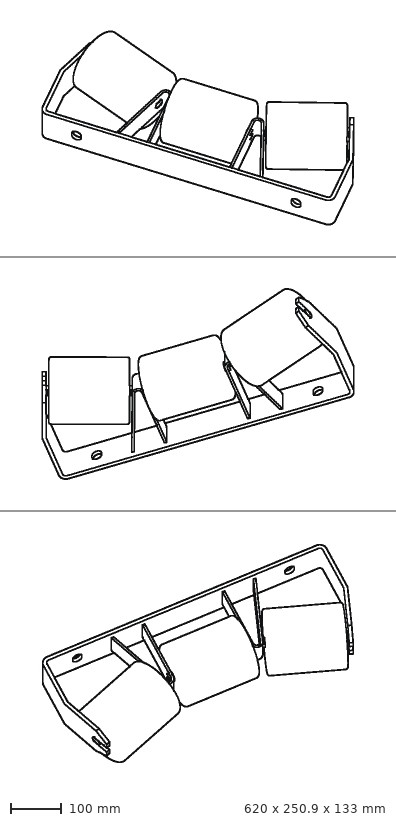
import cadquery as cq
import math

FRAME_LENGTH = 620.0
STRIP_THICKNESS = 8.0
STRIP_HEIGHT = 80.0
CORNER_RADIUS = 15.0
ARM_BEND_Y = 110.5
ARM_BEND_INNER_RADIUS = 1.0
TIP_ABOVE_SHAFT = 30.0
TIP_CHAMFER_LENGTH = 30.0
TIP_CHAMFER_ANGLE = 30.0
MOUNTING_SLOT_X = 232.5
MOUNTING_SLOT_WIDTH = 20.0
MOUNTING_SLOT_HEIGHT = 25.5

TILT = 20.0
ROLLER_DIAMETER = 133.0
ROLLER_LENGTH = 160.0
ROLLER_EDGE_RADIUS = 5.0
SHAFT_DIAMETER = 20.0
SHOULDER_LENGTH = 3.0
SHAFT_FLATS = 13.5
SEAT_WIDTH = 16.0
SUPPORT_GAP = 5.0
MIDDLE_ROLLER_Y = 126.5
SIDE_ROLLER_Y = 162.5

BRACKET_THICKNESS = 5.0
BRACKET_HEIGHT = 50.0
BRACKET_BEND_RADIUS = 12.5

HALF_LENGTH = FRAME_LENGTH / 2
SHAFT_RADIUS = SHAFT_DIAMETER / 2
COS_TILT = math.cos(math.radians(TILT))
SIN_TILT = math.sin(math.radians(TILT))
SUPPORT_FACE = ROLLER_LENGTH / 2 + SUPPORT_GAP
BRACKET_BACK = SUPPORT_FACE + BRACKET_THICKNESS
ARM_BACK = SUPPORT_FACE + STRIP_THICKNESS
ARM_BEND_OUTER_RADIUS = ARM_BEND_INNER_RADIUS + STRIP_THICKNESS
ARM_BEND_CENTRE_X = HALF_LENGTH - ARM_BEND_OUTER_RADIUS
ARM_BEND_TO_ROLLER = SUPPORT_FACE - ARM_BEND_INNER_RADIUS + (SIDE_ROLLER_Y - ARM_BEND_Y) * SIN_TILT
SIDE_ROLLER_X = ARM_BEND_CENTRE_X - ARM_BEND_TO_ROLLER / COS_TILT
RIGHT_ROLLER_PLACE = cq.Location(cq.Vector(SIDE_ROLLER_X, SIDE_ROLLER_Y, 0), cq.Vector(0, 0, 1), TILT)
LEFT_ROLLER_PLACE = cq.Location(cq.Vector(-SIDE_ROLLER_X, SIDE_ROLLER_Y, 0), cq.Vector(0, 0, 1), 180 - TILT)
MIDDLE_ROLLER_PLACE = cq.Location(cq.Vector(0, MIDDLE_ROLLER_Y, 0))


def from_side_roller(axial, across):
    """Point in the XY plane given along and across the right roller's axis."""
    return (
        SIDE_ROLLER_X + axial * COS_TILT - across * SIN_TILT,
        SIDE_ROLLER_Y + axial * SIN_TILT + across * COS_TILT,
    )


def on_circle(centre, radius, angle):
    """Point on a circle at an angle in degrees from +X."""
    return (
        centre[0] + radius * math.cos(math.radians(angle)),
        centre[1] + radius * math.sin(math.radians(angle)),
    )


def flatted_bar(start, end, width):
    """Round bar along X between two places, cut to a width in Z by two flats."""
    bar = cq.Workplane("YZ", origin=(start, 0, 0)).circle(SHAFT_RADIUS).extrude(end - start)
    flats = cq.Workplane("XY").box(2 * max(abs(start), abs(end)), SHAFT_DIAMETER, width)
    return bar.intersect(flats)


def make_roller(right_back):
    """Roller along X whose flatted shaft runs from a bracket's back on the left to right_back."""
    drum = (
        cq.Workplane("YZ", origin=(-ROLLER_LENGTH / 2, 0, 0))
        .circle(ROLLER_DIAMETER / 2)
        .extrude(ROLLER_LENGTH)
        .edges()
        .fillet(ROLLER_EDGE_RADIUS)
    )
    shoulder_face = ROLLER_LENGTH / 2 + SHOULDER_LENGTH
    shoulders = cq.Workplane("YZ").circle(SHAFT_RADIUS).extrude(shoulder_face, both=True)
    flatted_ends = flatted_bar(-BRACKET_BACK, right_back, SHAFT_FLATS)
    return drum.union(shoulders).union(flatted_ends)


def make_half_strip():
    """Right half of the bent strip: base, rounded corner, upright and tilted arm."""
    corner = (HALF_LENGTH - CORNER_RADIUS, CORNER_RADIUS)
    corner_inner_radius = CORNER_RADIUS - STRIP_THICKNESS
    bend = (ARM_BEND_CENTRE_X, ARM_BEND_Y)
    return (
        cq.Workplane("XY", origin=(0, 0, -STRIP_HEIGHT / 2))
        .moveTo(0, 0)
        .lineTo(corner[0], 0)
        .threePointArc(on_circle(corner, CORNER_RADIUS, -45), (HALF_LENGTH, CORNER_RADIUS))
        .lineTo(HALF_LENGTH, ARM_BEND_Y)
        .threePointArc(
            on_circle(bend, ARM_BEND_OUTER_RADIUS, TILT / 2),
            on_circle(bend, ARM_BEND_OUTER_RADIUS, TILT),
        )
        .lineTo(*from_side_roller(ARM_BACK, TIP_ABOVE_SHAFT))
        .lineTo(*from_side_roller(SUPPORT_FACE, TIP_ABOVE_SHAFT))
        .lineTo(*on_circle(bend, ARM_BEND_INNER_RADIUS, TILT))
        .threePointArc(
            on_circle(bend, ARM_BEND_INNER_RADIUS, TILT / 2),
            (HALF_LENGTH - STRIP_THICKNESS, ARM_BEND_Y),
        )
        .lineTo(HALF_LENGTH - STRIP_THICKNESS, CORNER_RADIUS)
        .threePointArc(on_circle(corner, corner_inner_radius, -45), (corner[0], STRIP_THICKNESS))
        .lineTo(0, STRIP_THICKNESS)
        .close()
        .extrude(STRIP_HEIGHT)
    )


def make_tip_chamfers():
    """Cutters for the two sloped corners of the right arm's tip."""
    half_height = STRIP_HEIGHT / 2
    drop = TIP_CHAMFER_LENGTH * math.tan(math.radians(TIP_CHAMFER_ANGLE))
    corner = (
        cq.Workplane("YZ", origin=(SUPPORT_FACE, 0, 0))
        .moveTo(TIP_ABOVE_SHAFT, half_height)
        .lineTo(TIP_ABOVE_SHAFT - TIP_CHAMFER_LENGTH, half_height)
        .lineTo(TIP_ABOVE_SHAFT, half_height - drop)
        .close()
        .extrude(STRIP_THICKNESS)
    )
    return corner.union(corner.mirror("XY")).val().moved(RIGHT_ROLLER_PLACE)


def make_arm_seat():
    """Cutter for the open seat in the right arm: round at the shaft, straight up to the tip."""
    mouth = (
        cq.Workplane("XY")
        .box(STRIP_THICKNESS, TIP_ABOVE_SHAFT, SEAT_WIDTH, centered=(False, False, True))
        .translate((SUPPORT_FACE, 0, 0))
    )
    return flatted_bar(SUPPORT_FACE, ARM_BACK, SEAT_WIDTH).union(mouth).val().moved(RIGHT_ROLLER_PLACE)


def make_mounting_slot():
    """Cutter for the right upright slot through the base."""
    return (
        cq.Workplane("XZ", origin=(MOUNTING_SLOT_X, 0, 0))
        .slot2D(MOUNTING_SLOT_HEIGHT, MOUNTING_SLOT_WIDTH, 90)
        .extrude(-STRIP_THICKNESS)
    )


def make_bracket():
    """Right bracket: a straight and a tilted leg joined by a round fold, with a shaft seat in each leg."""
    inner_radius = BRACKET_BEND_RADIUS - BRACKET_THICKNESS
    fold_x = SUPPORT_FACE + BRACKET_BEND_RADIUS
    fold_axial = -SUPPORT_FACE - BRACKET_BEND_RADIUS
    fold_y = SIDE_ROLLER_Y + (fold_axial - (fold_x - SIDE_ROLLER_X) * COS_TILT) / SIN_TILT
    fold = (fold_x, fold_y)
    top_angle = (180 + TILT) / 2

    def tilted_leg_foot(radius):
        """Where the tilted leg's face that leaves the fold at this radius meets the base."""
        x, y = on_circle(fold, radius, TILT)
        return (x + (y - STRIP_THICKNESS) * SIN_TILT / COS_TILT, STRIP_THICKNESS)

    sheet = (
        cq.Workplane("XY", origin=(0, 0, -BRACKET_HEIGHT / 2))
        .moveTo(SUPPORT_FACE, STRIP_THICKNESS)
        .lineTo(SUPPORT_FACE, fold_y)
        .threePointArc(
            on_circle(fold, BRACKET_BEND_RADIUS, top_angle),
            on_circle(fold, BRACKET_BEND_RADIUS, TILT),
        )
        .lineTo(*tilted_leg_foot(BRACKET_BEND_RADIUS))
        .lineTo(*tilted_leg_foot(inner_radius))
        .lineTo(*on_circle(fold, inner_radius, TILT))
        .threePointArc(
            on_circle(fold, inner_radius, top_angle),
            (BRACKET_BACK, fold_y),
        )
        .lineTo(BRACKET_BACK, STRIP_THICKNESS)
        .close()
        .extrude(BRACKET_HEIGHT)
    )
    straight_leg_seat = flatted_bar(SUPPORT_FACE, BRACKET_BACK, SEAT_WIDTH).val().moved(MIDDLE_ROLLER_PLACE)
    tilted_leg_seat = flatted_bar(-BRACKET_BACK, -SUPPORT_FACE, SEAT_WIDTH).val().moved(RIGHT_ROLLER_PLACE)
    return sheet.cut(cq.Workplane(straight_leg_seat)).cut(cq.Workplane(tilted_leg_seat))


def make_frame():
    """Strip and brackets, mirrored about the middle, in one piece with the middle roller."""
    half = make_half_strip()
    half = half.cut(cq.Workplane(make_tip_chamfers()))
    half = half.cut(cq.Workplane(make_arm_seat()))
    half = half.cut(make_mounting_slot())
    half = half.union(make_bracket())
    middle_roller = make_roller(BRACKET_BACK)
    return half.union(half.mirror("YZ")).union(middle_roller.translate((0, MIDDLE_ROLLER_Y, 0)))


def make_side_roller(place):
    """Separate tilted roller, seated in a bracket at one end and in an arm at the other."""
    return make_roller(ARM_BACK).val().moved(place)


frame = make_frame()
side_rollers = [make_side_roller(place) for place in (LEFT_ROLLER_PLACE, RIGHT_ROLLER_PLACE)]

result = cq.Compound.makeCompound([frame.val(), *side_rollers])